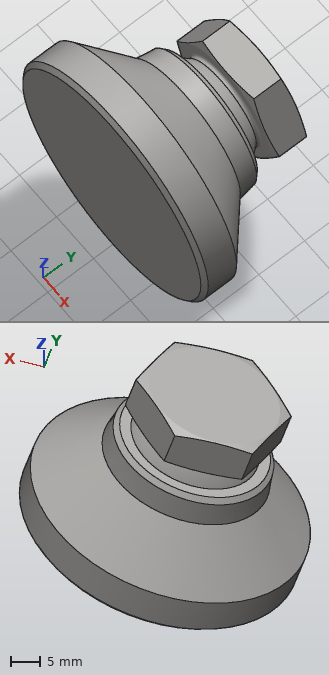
import cadquery as cq
import math


total_height = 32.0

pad_radius = 25.0
pad_chamfer = 0.9
rim_top = 7.1
collar_base = 16.0
collar_base_radius = 15.0
collar_top = 21.0
collar_radius = 14.35
collar_chamfer = 0.9

ball_radius = 12.75
ball_center = 15.4
neck_radius = 9.4
neck_fillet = 0.5

hex_height = 7.1
hex_across_flats = 24.0
hex_face_radius = 11.75
hex_chamfer_angle = 15.0

hex_base = total_height - hex_height
hex_corner_radius = hex_across_flats / math.sqrt(3)


def revolve_about_y(profile):
    """Close a radius/height profile and turn it about the Y axis."""
    return profile.close().revolve(360, (0, 0, 0), (0, 1, 0))


def make_pad():
    """Chamfered disc rising in a cone to a tapered, chamfered collar."""
    profile = cq.Workplane("XY").polyline([
        (0, 0),
        (pad_radius - pad_chamfer, 0),
        (pad_radius, pad_chamfer),
        (pad_radius, rim_top),
        (collar_base_radius, collar_base),
        (collar_radius, collar_top - collar_chamfer),
        (collar_radius - collar_chamfer, collar_top),
        (0, collar_top),
    ])
    return revolve_about_y(profile)


def make_ball_neck():
    """Spherical zone leading to a short neck that is filleted into the hexagon."""
    def ball_point(radius):
        return (radius, ball_center + math.sqrt(ball_radius**2 - radius**2))

    start_angle = math.asin((collar_base - ball_center) / ball_radius)
    start = (ball_radius * math.cos(start_angle), collar_base)
    collar_exit_radius = math.sqrt(ball_radius**2 - (collar_top - ball_center)**2)
    profile = (
        cq.Workplane("XY")
        .moveTo(0, collar_base)
        .lineTo(*start)
        .threePointArc(ball_point(collar_exit_radius), ball_point(neck_radius))
        .lineTo(neck_radius, hex_base - neck_fillet)
        .radiusArc((neck_radius + neck_fillet, hex_base), neck_fillet)
        .lineTo(0, hex_base)
    )
    return revolve_about_y(profile)


def make_hexagon():
    """Hexagon with corners on the X axis, its corners cut conically at both ends."""
    prism = (
        cq.Workplane("XZ", origin=(0, hex_base, 0))
        .polygon(6, 2 * hex_corner_radius)
        .extrude(-hex_height)
    )
    slope = math.tan(math.radians(hex_chamfer_angle))
    corner_drop = (hex_corner_radius - hex_face_radius) * slope
    envelope = cq.Workplane("XY").polyline([
        (0, hex_base),
        (hex_face_radius, hex_base),
        (hex_corner_radius, hex_base + corner_drop),
        (hex_corner_radius, total_height - corner_drop),
        (hex_face_radius, total_height),
        (0, total_height),
    ])
    return prism.intersect(revolve_about_y(envelope))


result = make_pad().union(make_ball_neck()).union(make_hexagon())